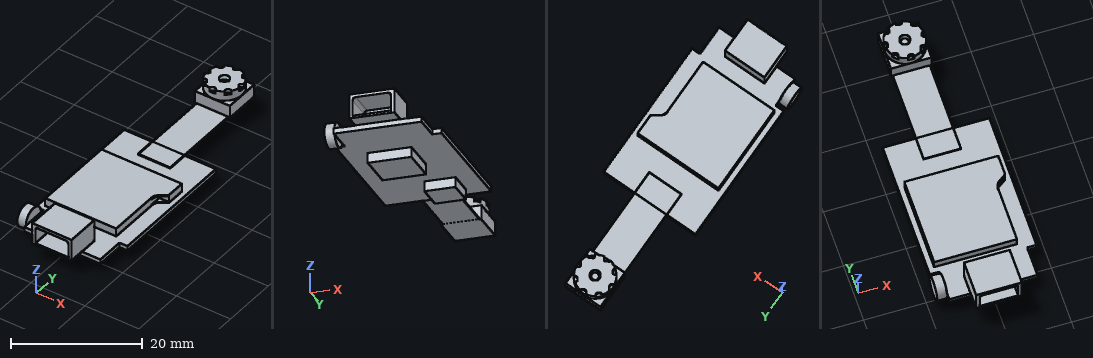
import cadquery as cq
import math


BOARD_WIDTH = 17.08
BOARD_LENGTH = 28.55
BOARD_THICKNESS = 0.9
TONGUE_WIDTH = 14.1
TONGUE_LENGTH = 5.1

CHIP_HEIGHT = 1.65
LARGE_CHIP_SIDE = 7.0
LARGE_CHIP_CENTER = (-1.05, 12.15)
SMALL_CHIP_SIDE = 5.0
SMALL_CHIP_CENTER = (2.6, 24.15)

SOCKET_LEFT = -7.5
SOCKET_RIGHT = 7.5
SOCKET_FRONT = 6.1
SOCKET_BACK = 20.95
SOCKET_HEIGHT = 1.5
SOCKET_FLOOR = 0.15
SOCKET_LID = 0.3
NOTCH_WIDTH = 1.8
NOTCH_BACK = 17.5
NOTCH_SLANT_END = (6.15, 16.6)
NOTCH_ARC_MIDDLE = (5.85, 16.2)
NOTCH_ARC_END = 15.5

PLUG_WIDTH = 7.3
PLUG_LENGTH = 6.0
PLUG_HEIGHT = 4.0
PLUG_OVERHANG = 2.75
PLUG_WALL = 0.6
PLUG_FLOOR = 0.4
CAVITY_HEIGHT = 3.0
CAVITY_CORNER_RADIUS = 0.5

BUTTON_DIAMETER = 4.0
BUTTON_LEFT = -8.8
BUTTON_LENGTH = 1.65
BUTTON_Y = 2.55
BUTTON_Z = -0.05

CAMERA_SIDE = 6.5
CAMERA_BASE_HEIGHT = 2.35
CAMERA_X = -0.25
CAMERA_Y = 43.35
LENS_DIAMETER = CAMERA_SIDE
LENS_HEIGHT = 1.8
GRIP_COUNT = 8
GRIP_DIAMETER = 1.1
GRIP_DEPTH = 0.65
APERTURE_TOP_DIAMETER = 1.7
APERTURE_BOTTOM_DIAMETER = 1.2
APERTURE_DEPTH = GRIP_DEPTH

CABLE_WIDTH = 5.95
CABLE_THICKNESS = 0.15
CABLE_END_Y = 24.68


def block(x_min, y_min, z_min, x_size, y_size, z_size):
    """Box given by its lowest corner and its sizes."""
    corner = cq.Workplane("XY").box(x_size, y_size, z_size, centered=False)
    return corner.translate((x_min, y_min, z_min))


def make_chip(center, side):
    """Square chip hanging from the lower face of the board."""
    x, y = center
    z_min = -BOARD_THICKNESS - CHIP_HEIGHT
    return block(x - side / 2, y - side / 2, z_min, side, side, CHIP_HEIGHT)


def make_board():
    """Board with a narrower tongue at the plug end, carrying its two chips."""
    main = block(
        -BOARD_WIDTH / 2, TONGUE_LENGTH, -BOARD_THICKNESS,
        BOARD_WIDTH, BOARD_LENGTH - TONGUE_LENGTH, BOARD_THICKNESS,
    )
    tongue = block(
        -TONGUE_WIDTH / 2, 0, -BOARD_THICKNESS,
        TONGUE_WIDTH, TONGUE_LENGTH, BOARD_THICKNESS,
    )
    large_chip = make_chip(LARGE_CHIP_CENTER, LARGE_CHIP_SIDE)
    small_chip = make_chip(SMALL_CHIP_CENTER, SMALL_CHIP_SIDE)
    return main.union(tongue).union(large_chip).union(small_chip)


def make_socket_plate(z_min, thickness):
    """Plate whose side notch runs out through an arc and a slanted edge."""
    notch_side = SOCKET_RIGHT - NOTCH_WIDTH
    return (
        cq.Workplane("XY", origin=(0, 0, z_min))
        .moveTo(SOCKET_LEFT, SOCKET_FRONT)
        .lineTo(notch_side, SOCKET_FRONT)
        .lineTo(notch_side, NOTCH_ARC_END)
        .threePointArc(NOTCH_ARC_MIDDLE, NOTCH_SLANT_END)
        .lineTo(SOCKET_RIGHT, NOTCH_BACK)
        .lineTo(SOCKET_RIGHT, SOCKET_BACK)
        .lineTo(SOCKET_LEFT, SOCKET_BACK)
        .close()
        .extrude(thickness)
    )


def make_card_socket():
    """Block with a square notch between a floor and a lid that overhang the notch corner."""
    width = SOCKET_RIGHT - SOCKET_LEFT
    block_height = SOCKET_HEIGHT - SOCKET_FLOOR - SOCKET_LID
    middle = block(
        SOCKET_LEFT, SOCKET_FRONT, SOCKET_FLOOR,
        width, SOCKET_BACK - SOCKET_FRONT, block_height,
    )
    notch = block(
        SOCKET_RIGHT - NOTCH_WIDTH, SOCKET_FRONT, SOCKET_FLOOR,
        NOTCH_WIDTH, NOTCH_BACK - SOCKET_FRONT, block_height,
    )
    floor = make_socket_plate(0, SOCKET_FLOOR)
    lid = make_socket_plate(SOCKET_HEIGHT - SOCKET_LID, SOCKET_LID)
    return middle.cut(notch).union(floor).union(lid)


def make_plug():
    """Plug shell, open at the front, with rounded upper corners in its cavity."""
    shell = block(-PLUG_WIDTH / 2, -PLUG_OVERHANG, 0, PLUG_WIDTH, PLUG_LENGTH, PLUG_HEIGHT)
    cavity_width = PLUG_WIDTH - 2 * PLUG_WALL
    cavity = block(
        -cavity_width / 2, -PLUG_OVERHANG, PLUG_FLOOR,
        cavity_width, PLUG_LENGTH - PLUG_WALL, CAVITY_HEIGHT,
    )
    cavity = cavity.faces(">Z").edges("|Y").fillet(CAVITY_CORNER_RADIUS)
    return shell.cut(cavity)


def make_button():
    """Disc with its axis along X."""
    return (
        cq.Workplane("YZ", origin=(BUTTON_LEFT, BUTTON_Y, BUTTON_Z))
        .circle(BUTTON_DIAMETER / 2)
        .extrude(BUTTON_LENGTH)
    )


def make_lens():
    """Round lens barrel with grip notches around its rim and a tapered aperture."""
    top = CAMERA_BASE_HEIGHT + LENS_HEIGHT
    barrel = (
        cq.Workplane("XY", origin=(CAMERA_X, CAMERA_Y, CAMERA_BASE_HEIGHT))
        .circle(LENS_DIAMETER / 2)
        .extrude(LENS_HEIGHT)
    )
    grips = (
        cq.Workplane("XY", origin=(CAMERA_X, CAMERA_Y, top))
        .polarArray(LENS_DIAMETER / 2, 0, 360, GRIP_COUNT)
        .circle(GRIP_DIAMETER / 2)
        .extrude(-GRIP_DEPTH)
    )
    half_taper = (APERTURE_TOP_DIAMETER - APERTURE_BOTTOM_DIAMETER) / 2
    aperture = (
        cq.Workplane("XY", origin=(CAMERA_X, CAMERA_Y, top))
        .circle(APERTURE_TOP_DIAMETER / 2)
        .extrude(-APERTURE_DEPTH, taper=math.degrees(math.atan2(half_taper, APERTURE_DEPTH)))
    )
    return barrel.cut(grips).cut(aperture)


def make_camera():
    """Square camera base with its lens and the flat cable that lies on the board."""
    base_front = CAMERA_Y - CAMERA_SIDE / 2
    base = block(
        CAMERA_X - CAMERA_SIDE / 2, base_front, 0,
        CAMERA_SIDE, CAMERA_SIDE, CAMERA_BASE_HEIGHT,
    )
    cable = block(
        CAMERA_X - CABLE_WIDTH / 2, CABLE_END_Y, 0,
        CABLE_WIDTH, base_front - CABLE_END_Y, CABLE_THICKNESS,
    )
    return base.union(make_lens()).union(cable)


board = make_board()
card_socket = make_card_socket()
plug = make_plug()
button = make_button()
camera = make_camera()

result = cq.Compound.makeCompound(
    [body.solids().val() for body in (board, card_socket, plug, button, camera)]
)